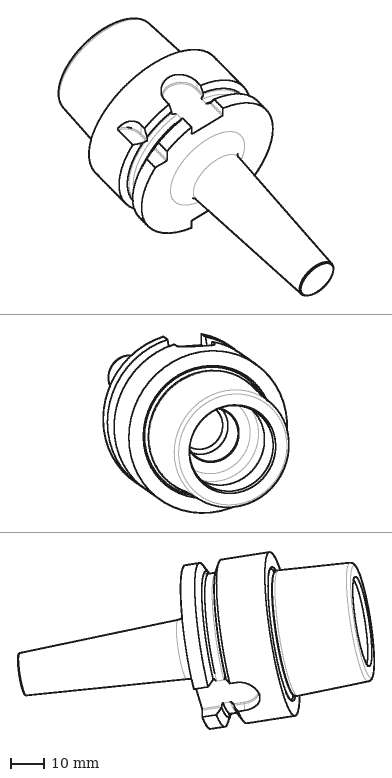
import cadquery as cq
import math

taper_end = 22.9
lip_end = 23.6
neck_start = 23.8
flange_face = 24.7
gripper_start = 39.5
gripper_wall_left = 40.8
gripper_wall_right = 44.7
gripper_end = 46.3
collar_end = 50.7
total_length = 104.9

taper_mouth_radius = 18.1
taper_base_radius = 19.2
mouth_round = 1.0
neck_radius = 18.9

relief_depth = 0.4
relief_round = 1.0
relief_radius = 20.5

flange_diameter = 50.0
flange_radius = flange_diameter / 2
gripper_radius = 21.4
gripper_angle = math.radians(60)
gripper_round_left = 0.9
gripper_round_right = 0.7

nose_fillet = 5.0
nose_half_angle = math.radians(3)
nose_tip_radius = 6.5
tip_chamfer = 0.3
nose_root = collar_end + nose_fillet * (1 - math.sin(nose_half_angle))
nose_root_radius = nose_tip_radius + (total_length - tip_chamfer - nose_root) * math.tan(nose_half_angle)
nose_fillet_top = nose_root_radius + nose_fillet * math.cos(nose_half_angle)

bore_radius = 13.2
bore_mouth_radius = 13.6
bore_mouth_depth = 1.2
undercut_start = 9.9
undercut_radius = 13.8
undercut_floor = 20.2
undercut_round = 2.0
inner_bore_radius = 8.2
inner_bore_depth = 10.5
inner_bore_chamfer = 0.2
inner_floor_radius = 6.9

slot_width = 12.0
slot_end = 31.7
slot_floor_height = 20.9
slot_floor_round = 0.3
notch_offset = 15.3


def solid_body():
    """Outer shape: taper, neck, flange, groove and nose turned about X."""
    relief_floor = flange_face + relief_depth
    left_wall_top = flange_radius - (gripper_wall_left - gripper_start) * math.tan(gripper_angle)
    right_wall_top = flange_radius - (gripper_end - gripper_wall_right) * math.tan(gripper_angle)
    profile = (
        cq.Workplane("XY")
        .moveTo(0, 0)
        .lineTo(0, taper_mouth_radius - mouth_round)
        .radiusArc((mouth_round, taper_mouth_radius), mouth_round)
        .lineTo(taper_end, taper_base_radius)
        .lineTo(lip_end, taper_base_radius)
        .lineTo(neck_start, neck_radius)
        .lineTo(relief_floor - relief_round, neck_radius)
        .radiusArc((relief_floor, neck_radius + relief_round), -relief_round)
        .lineTo(flange_face, relief_radius)
        .lineTo(flange_face, flange_radius)
        .lineTo(gripper_start, flange_radius)
        .lineTo(gripper_wall_left, left_wall_top)
        .lineTo(gripper_wall_left, gripper_radius + gripper_round_left)
        .radiusArc((gripper_wall_left + gripper_round_left, gripper_radius), -gripper_round_left)
        .lineTo(gripper_wall_right - gripper_round_right, gripper_radius)
        .radiusArc((gripper_wall_right, gripper_radius + gripper_round_right), -gripper_round_right)
        .lineTo(gripper_wall_right, right_wall_top)
        .lineTo(gripper_end, flange_radius)
        .lineTo(collar_end, flange_radius)
        .lineTo(collar_end, nose_fillet_top)
        .radiusArc((nose_root, nose_root_radius), -nose_fillet)
        .lineTo(total_length - tip_chamfer, nose_tip_radius)
        .lineTo(total_length, nose_tip_radius - tip_chamfer)
        .lineTo(total_length, 0)
        .close()
    )
    return profile.revolve(360, (0, 0, 0), (1, 0, 0))


def stepped_bore():
    """Bore with a wider, round-cornered undercut, then a narrower hole with a coned floor."""
    inner_cone_start = undercut_floor + inner_bore_depth
    inner_floor = inner_cone_start + inner_bore_radius - inner_floor_radius
    profile = (
        cq.Workplane("XY")
        .moveTo(0, 0)
        .lineTo(0, bore_mouth_radius)
        .lineTo(bore_mouth_depth, bore_radius)
        .lineTo(undercut_start, bore_radius)
        .lineTo(undercut_start, undercut_radius)
        .lineTo(undercut_floor - undercut_round, undercut_radius)
        .radiusArc((undercut_floor, undercut_radius - undercut_round), undercut_round)
        .lineTo(undercut_floor, inner_bore_radius + inner_bore_chamfer)
        .lineTo(undercut_floor + inner_bore_chamfer, inner_bore_radius)
        .lineTo(inner_cone_start, inner_bore_radius)
        .lineTo(inner_floor, inner_floor_radius)
        .lineTo(inner_floor, 0)
        .close()
    )
    return profile.revolve(360, (0, 0, 0), (1, 0, 0))


def milled_slot(center_y, floor_z):
    """Round-ended slot along X, open towards the nose and upwards."""
    end_radius = slot_width / 2
    return (
        cq.Workplane("XY", origin=(0, center_y, floor_z))
        .moveTo(collar_end, -end_radius)
        .lineTo(slot_end + end_radius, -end_radius)
        .threePointArc((slot_end, 0), (slot_end + end_radius, end_radius))
        .lineTo(collar_end, end_radius)
        .close()
        .extrude(flange_radius)
        .edges("<Z and (not >X)")
        .fillet(slot_floor_round)
    )


drive_slot = milled_slot(0, slot_floor_height)
orientation_notch = milled_slot(-(notch_offset + slot_width / 2), notch_offset)

result = (
    solid_body()
    .cut(stepped_bore())
    .cut(drive_slot)
    .cut(drive_slot.rotate((0, 0, 0), (1, 0, 0), 180))
    .cut(orientation_notch)
)